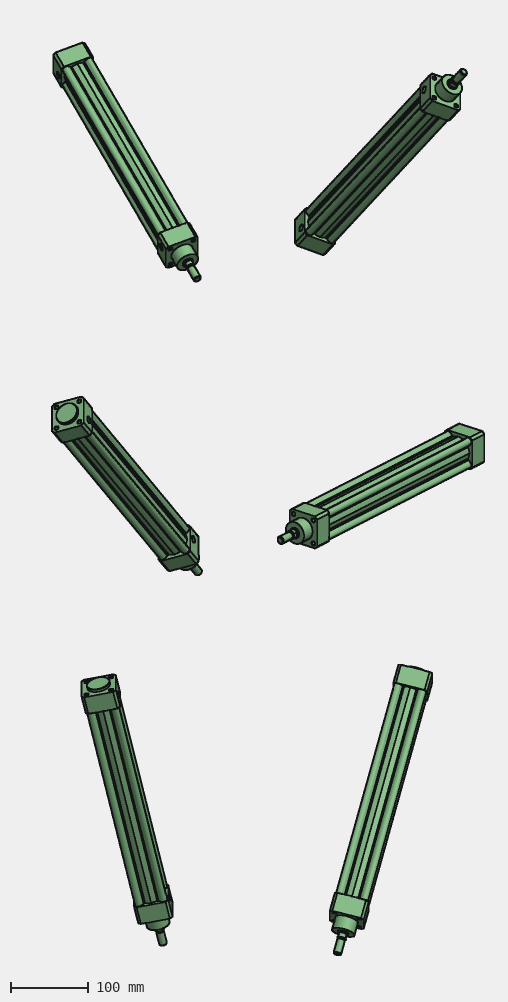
import cadquery as cq
import math

TOTAL_LENGTH = 396.0
BOSS_RADIUS = 15.0
REAR_BOSS_LENGTH = 4.0
CAP_LENGTH = 25.5
TUBE_LENGTH = 293.5
FRONT_BOSS_LENGTH = 17.5

TUBE_START = REAR_BOSS_LENGTH + CAP_LENGTH
TUBE_END = TUBE_START + TUBE_LENGTH
FRONT_CAP_END = TUBE_END + CAP_LENGTH
FRONT_BOSS_END = FRONT_CAP_END + FRONT_BOSS_LENGTH

CAP_SIDE = 45.0
CAP_TURNED_DIAMETER = 59.0
BOLT_PITCH = 32.5
BOLT_OFFSET = BOLT_PITCH / 2
BOLT_HOLE_RADIUS = 2.5
BOLT_HOLE_DEPTH = 16.0
BOLT_HOLE_CHAMFER = 0.6
PORT_RADIUS = 4.5
PORT_DEPTH = 10.0
PORT_CHAMFER = 0.5
PORT_OFFSET_Z = 5.0
PORT_INSET = 10.0
BOSS_CHAMFER = 0.5
REAR_PORT_X = TUBE_START - PORT_INSET
FRONT_PORT_X = TUBE_END + PORT_INSET

BARREL_RADIUS = 18.0
LOBE_DIAMETER = 10.0
LOBE_RADIUS = LOBE_DIAMETER / 2
RIDGE_HALF_WIDTH = 4.5
GROOVE_HALF_WIDTH = 8.0
FLANK_HALF_WIDTH = 10.0

COLLAR_RADIUS = 7.0
COLLAR_LENGTH = 1.0
COLLAR_TAPER_LENGTH = 1.0
ROD_RADIUS = 6.0
FLATS_WIDTH = 10.0
FLATS_LENGTH = 6.0
GROOVE_LENGTH = 2.5
GROOVE_BOTTOM_RADIUS = 4.5
THREAD_RADIUS = 5.0
THREAD_CHAMFER = 1.0


def disc(x_start, length, radius):
    """Round bar along X, centred on the cylinder axis."""
    return cq.Workplane("YZ").workplane(offset=x_start).circle(radius).extrude(length)


def make_cap_block(x_start):
    """Square cap whose four lengthwise corners are turned down to a round about the axis."""
    block = cq.Workplane("YZ").workplane(offset=x_start).rect(CAP_SIDE, CAP_SIDE).extrude(CAP_LENGTH)
    return block.intersect(disc(x_start, CAP_LENGTH, CAP_TURNED_DIAMETER / 2))


def blind_hole(mouth, direction, radius, depth, chamfer):
    """Flat-bottomed hole cutter with a chamfered mouth, sunk from a face along a direction."""
    bore = cq.Solid.makeCylinder(radius, depth, mouth, direction)
    countersink = cq.Solid.makeCone(radius + chamfer, radius, chamfer, mouth, direction)
    return bore.fuse(countersink)


def cut_bolt_holes(cap, x_face, direction):
    """Four bolt holes in the outer face of a cap."""
    for y in (-BOLT_OFFSET, BOLT_OFFSET):
        for z in (-BOLT_OFFSET, BOLT_OFFSET):
            mouth = cq.Vector(x_face, y, z)
            hole = blind_hole(mouth, direction, BOLT_HOLE_RADIUS, BOLT_HOLE_DEPTH, BOLT_HOLE_CHAMFER)
            cap = cap.cut(hole)
    return cap


def cut_port(cap, x, z):
    """Air port in the -Y side of a cap."""
    mouth = cq.Vector(x, -CAP_SIDE / 2, z)
    return cap.cut(blind_hole(mouth, cq.Vector(0, 1, 0), PORT_RADIUS, PORT_DEPTH, PORT_CHAMFER))


def make_rear_cap():
    boss = disc(0, REAR_BOSS_LENGTH, BOSS_RADIUS).faces("<X").chamfer(BOSS_CHAMFER)
    cap = make_cap_block(REAR_BOSS_LENGTH).union(boss)
    cap = cut_bolt_holes(cap, REAR_BOSS_LENGTH, cq.Vector(1, 0, 0))
    return cut_port(cap, REAR_PORT_X, -PORT_OFFSET_Z)


def make_front_cap():
    cap = make_cap_block(TUBE_END).union(disc(FRONT_CAP_END, FRONT_BOSS_LENGTH, BOSS_RADIUS))
    cap = cut_bolt_holes(cap, FRONT_CAP_END, cq.Vector(-1, 0, 0))
    return cut_port(cap, FRONT_PORT_X, PORT_OFFSET_Z)


def turned(point, quarter_turns):
    """A (y, z) point turned about the axis by whole quarter turns."""
    y, z = point
    for _ in range(quarter_turns):
        y, z = -z, y
    return (y, z)


def mirrored(point):
    """A (y, z) point mirrored in the 45 degree diagonal."""
    return (point[1], point[0])


def on_barrel(z):
    """The (y, z) point on the +Y side of the barrel at height z."""
    return (math.sqrt(BARREL_RADIUS**2 - z**2), z)


def make_tube():
    """Barrel with a low roof ridge on each side and a round lobe at each corner."""
    lobe_reach = LOBE_RADIUS * math.sqrt(0.5)

    tangent_point = on_barrel(RIDGE_HALF_WIDTH)
    peak = (BARREL_RADIUS**2 / tangent_point[0], 0)
    barrel_mid = on_barrel((RIDGE_HALF_WIDTH + GROOVE_HALF_WIDTH) / 2)
    groove = on_barrel(GROOVE_HALF_WIDTH)
    lobe_start = (BOLT_OFFSET + lobe_reach, BOLT_OFFSET - lobe_reach)
    flank_drop = lobe_start[1] - FLANK_HALF_WIDTH
    flank_end = (lobe_start[0] - flank_drop, FLANK_HALF_WIDTH)
    lobe_tip = (BOLT_OFFSET + lobe_reach, BOLT_OFFSET + lobe_reach)

    outline = cq.Workplane("YZ").workplane(offset=TUBE_START).moveTo(*peak)
    for k in range(4):
        outline = (
            outline.lineTo(*turned(tangent_point, k))
            .threePointArc(turned(barrel_mid, k), turned(groove, k))
            .lineTo(*turned(flank_end, k))
            .lineTo(*turned(lobe_start, k))
            .threePointArc(turned(lobe_tip, k), turned(mirrored(lobe_start), k))
            .lineTo(*turned(mirrored(flank_end), k))
            .lineTo(*turned(mirrored(groove), k))
            .threePointArc(turned(mirrored(barrel_mid), k), turned(mirrored(tangent_point), k))
        )
        if k < 3:
            outline = outline.lineTo(*turned(peak, k + 1))
    return outline.close().extrude(TUBE_LENGTH)


def make_rod():
    """Rod end with a tapered collar, two wrench flats, a V groove and a chamfered thread end."""
    collar_end = FRONT_BOSS_END + COLLAR_LENGTH
    flats_start = collar_end + COLLAR_TAPER_LENGTH
    flats_end = flats_start + FLATS_LENGTH
    thread_start = flats_end + GROOVE_LENGTH
    rod = (
        cq.Workplane("XY")
        .moveTo(FRONT_BOSS_END, 0)
        .lineTo(FRONT_BOSS_END, COLLAR_RADIUS)
        .lineTo(collar_end, COLLAR_RADIUS)
        .lineTo(flats_start, ROD_RADIUS)
        .lineTo(flats_end, ROD_RADIUS)
        .lineTo((flats_end + thread_start) / 2, GROOVE_BOTTOM_RADIUS)
        .lineTo(thread_start, THREAD_RADIUS)
        .lineTo(TOTAL_LENGTH - THREAD_CHAMFER, THREAD_RADIUS)
        .lineTo(TOTAL_LENGTH, THREAD_RADIUS - THREAD_CHAMFER)
        .lineTo(TOTAL_LENGTH, 0)
        .close()
        .revolve(360, (0, 0, 0), (1, 0, 0))
    )
    outside_flats = (
        cq.Workplane("YZ")
        .workplane(offset=flats_start)
        .rect(4 * ROD_RADIUS, 4 * ROD_RADIUS)
        .rect(FLATS_WIDTH, 4 * ROD_RADIUS)
        .extrude(FLATS_LENGTH)
    )
    return rod.cut(outside_flats)


rear_cap = make_rear_cap()
tube = make_tube()
front_cap = make_front_cap()
rod = make_rod()

result = cq.Compound.makeCompound([rear_cap.val(), tube.val(), front_cap.val(), rod.val()])